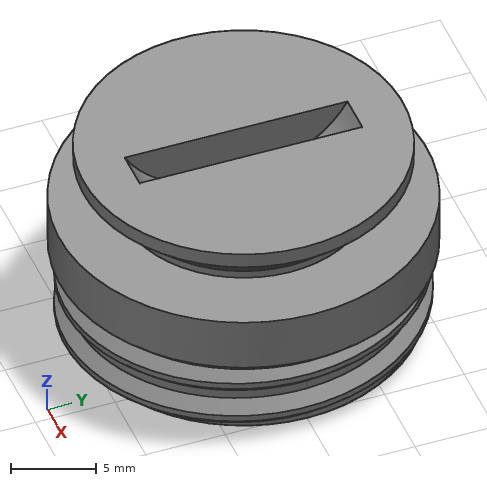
import cadquery as cq

total_height = 13.0
head_rim_z = 12.0
neck_top_z = 9.5
flange_top_z = 9.0
flange_bottom_z = 5.5

flange_radius = 23 / 2
head_radius = 20 / 2
neck_radius = 15.0 / 2
root_radius = 20.75 / 2

crest_radius = 22.25 / 2
thread_pitch = 2.5
crest_width = 0.41
thread_mid_z = 1.35
thread_turns = 3
root_overlap = 0.23

slot_width = 2.44
slot_length = 13.98
slot_floor_length = 2.0
slot_depth = 3.5


def make_body():
    """Revolve the head, neck, flange and thread core."""
    shoulder_z = flange_bottom_z - (flange_radius - root_radius)
    profile = [
        (0, 0),
        (root_radius, 0),
        (root_radius, shoulder_z),
        (flange_radius, flange_bottom_z),
        (flange_radius, flange_top_z),
        (neck_radius, flange_top_z),
        (neck_radius, neck_top_z),
        (head_radius, head_rim_z),
        (head_radius, total_height),
        (0, total_height),
    ]
    return cq.Workplane("XZ").polyline(profile).close().revolve(360, (0, 0), (0, 1))


def make_thread():
    """Sweep the ridge from below the bottom face up into the flange and trim it flush."""
    start_z = thread_mid_z - thread_pitch
    base_radius = root_radius - root_overlap
    half_crest = crest_width / 2
    half_base = half_crest + crest_radius - base_radius
    section = [
        (base_radius, start_z - half_base),
        (crest_radius, start_z - half_crest),
        (crest_radius, start_z + half_crest),
        (base_radius, start_z + half_base),
    ]
    helix = cq.Wire.makeHelix(
        thread_pitch, thread_turns * thread_pitch, root_radius, cq.Vector(0, 0, start_z)
    )
    ridge = cq.Workplane("XZ").polyline(section).close().sweep(cq.Workplane(helix), isFrenet=True)
    envelope = cq.Workplane("XY").circle(flange_radius).extrude(flange_top_z)
    return ridge.intersect(envelope)


def make_slot():
    """Cutter along Y; each arc leaves the floor tangentially and ends at the top face."""
    half_length = slot_length / 2
    half_floor = slot_floor_length / 2
    floor_z = total_height - slot_depth
    run = half_length - half_floor
    arc_radius = (run**2 + slot_depth**2) / (2 * slot_depth)
    mid_y = half_floor + run / 2
    mid_z = floor_z + arc_radius - (arc_radius**2 - (run / 2) ** 2) ** 0.5
    return (
        cq.Workplane("YZ")
        .moveTo(-half_floor, floor_z)
        .lineTo(half_floor, floor_z)
        .threePointArc((mid_y, mid_z), (half_length, total_height))
        .lineTo(-half_length, total_height)
        .threePointArc((-mid_y, mid_z), (-half_floor, floor_z))
        .close()
        .extrude(slot_width / 2, both=True)
    )


result = make_body().union(make_thread()).cut(make_slot())